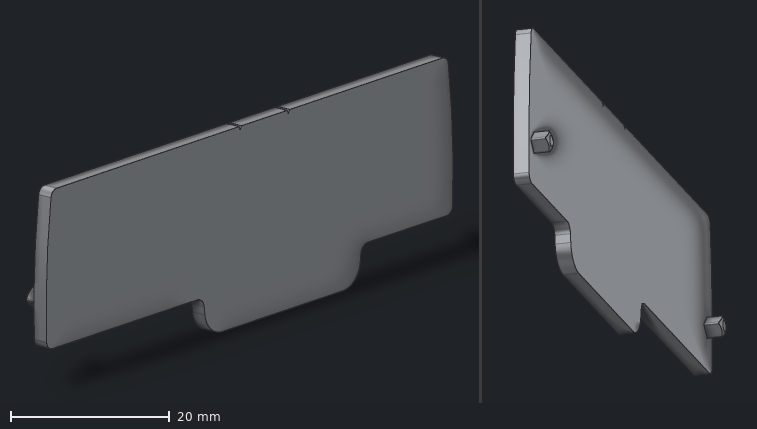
import cadquery as cq
import math

plate_thickness = 2.1
plate_length = 77.84
body_height = 21.0
side_radius = 115.0
widest_z = 5.5
corner_radius = 1.15

tab_center_y = 6.3
tab_depth = 5.3
tab_root_width = 30.3
tab_tip_width = 29.0
tab_root_radius = 1.35
tab_tip_radius = 3.4

groove_center_y = 2.8
groove_spacing = 9.2
groove_width = 0.48
groove_depth = 0.45

pin_side = 2.1
pin_length = 2.3
pin_spacing = 73.4
pin_center_z = 5.77
pin_cone_length = 0.4
pin_tip_radius = 0.75
pin_edge_radius = 0.2


def corner_selector(y, z, reach=0.1):
    """Select the plate's X-parallel edge at the outline corner (y, z)."""
    return cq.selectors.BoxSelector(
        (-reach, y - reach, z - reach),
        (plate_thickness + reach, y + reach, z + reach),
    )


def half_length_at(z):
    """Half the plate length at height z, on the bowed sides."""
    rise = z - widest_z
    sagitta = side_radius - math.sqrt(side_radius**2 - rise**2)
    return plate_length / 2 - sagitta


def make_plate():
    """Plate with bowed sides and a rounded tab below."""
    half_bottom = half_length_at(0)
    half_top = half_length_at(body_height)
    body_corners = [
        (-half_bottom, 0),
        (half_bottom, 0),
        (half_top, body_height),
        (-half_top, body_height),
    ]
    tab_roots = [(tab_center_y + side * tab_root_width / 2, 0) for side in (-1, 1)]
    tab_tips = [(tab_center_y + side * tab_tip_width / 2, -tab_depth) for side in (-1, 1)]
    widest = plate_length / 2
    plate = (
        cq.Workplane("YZ")
        .moveTo(*body_corners[0])
        .lineTo(*tab_roots[0])
        .lineTo(*tab_tips[0])
        .lineTo(*tab_tips[1])
        .lineTo(*tab_roots[1])
        .lineTo(*body_corners[1])
        .threePointArc((widest, widest_z), body_corners[2])
        .lineTo(*body_corners[3])
        .threePointArc((-widest, widest_z), body_corners[0])
        .close()
        .extrude(plate_thickness)
    )
    roundings = (
        (body_corners, corner_radius),
        (tab_roots, tab_root_radius),
        (tab_tips, tab_tip_radius),
    )
    for corners, radius in roundings:
        for y, z in corners:
            plate = plate.edges(corner_selector(y, z)).fillet(radius)
    return plate


def make_groove(y):
    """V-shaped cutter running through the plate thickness at the top edge."""
    return (
        cq.Workplane("YZ")
        .moveTo(y - groove_width / 2, body_height)
        .lineTo(y, body_height - groove_depth)
        .lineTo(y + groove_width / 2, body_height)
        .close()
        .extrude(plate_thickness)
    )


def make_pin(y):
    """Corner-up square pin with rounded long edges and a conical tip."""
    half_diagonal = pin_side / math.sqrt(2)
    pin = (
        cq.Workplane("YZ")
        .rect(pin_side, pin_side)
        .extrude(-pin_length)
        .edges("|X")
        .fillet(pin_edge_radius)
        .rotate((0, 0, 0), (1, 0, 0), 45)
    )
    tip_envelope = (
        cq.Workplane("XY")
        .moveTo(0, 0)
        .lineTo(0, half_diagonal)
        .lineTo(pin_cone_length - pin_length, half_diagonal)
        .lineTo(-pin_length, pin_tip_radius)
        .lineTo(-pin_length, 0)
        .close()
        .revolve(360, (0, 0, 0), (1, 0, 0))
    )
    return pin.intersect(tip_envelope).translate((0, y, pin_center_z))


result = make_plate()
for side in (-1, 1):
    result = result.cut(make_groove(groove_center_y + side * groove_spacing / 2))
    result = result.union(make_pin(side * pin_spacing / 2))